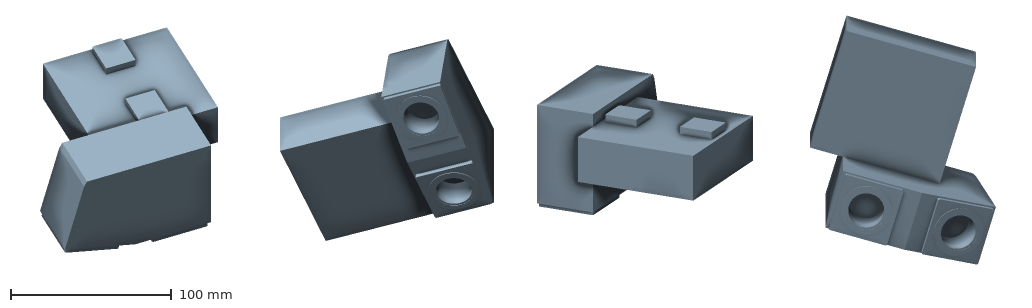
import cadquery as cq
import math

slab_length = 80.0
slab_width = 84.0
slab_height = 29.5
slab_front = 36.5
slab_bottom = 30.0
slab_top = slab_bottom + slab_height

top_pad_length = 22.0
top_pad_width = 19.9
top_pad_height = 5.2
top_pad_margin = 3.0
top_pad_radius = 1.0
top_pad_y = slab_front + slab_width / 2

head_left = slab_length
head_width = 39.0
head_back = 99.1
head_bottom = 3.1
head_top = 68.0
bend_y = 47.9
tip_z = 15.9
nose_top_y = 13.0
nose_top_z = 64.5
top_front_y = 15.1
tilt = math.degrees(math.atan2(tip_z - head_bottom, bend_y))

flange_size = 37.7
flange_thickness = 2.7
flange_radius = 1.02
flange_x = 100.0
ring_diameter = 32.0
ring_height = 0.5
mouth_diameter = 25.2
bore_diameter = 22.4
mouth_depth = 0.2
bore_depth = 18.1
rear_flange_y = 78.2
front_flange_y = 19.2


def make_head():
    outline = [
        (head_back, head_bottom),
        (head_back, head_top),
        (top_front_y, head_top),
        (nose_top_y, nose_top_z),
        (0, tip_z),
        (bend_y, head_bottom),
    ]
    return cq.Workplane("YZ", origin=(head_left, 0, 0)).polyline(outline).close().extrude(head_width)


def make_top_pad(x, rounded_side):
    """Make a pad whose two corners on the outer side are rounded."""
    pad = cq.Workplane("XY", origin=(x, top_pad_y, slab_top))
    pad = pad.rect(top_pad_length, top_pad_width).extrude(top_pad_height)
    return pad.faces(rounded_side).edges("|Z").fillet(top_pad_radius)


def add_flange(body, plane):
    """Add a flange growing out of the plane, then bore it back into the head."""
    flange = cq.Workplane(plane).rect(flange_size, flange_size).extrude(flange_thickness)
    flange = flange.edges(cq.selectors.ParallelDirSelector(plane.zDir)).fillet(flange_radius)
    ring = cq.Workplane(plane).circle(ring_diameter / 2).extrude(flange_thickness + ring_height)
    face = cq.Workplane(plane).workplane(offset=flange_thickness + ring_height)
    mouth = face.circle(mouth_diameter / 2).extrude(-mouth_depth)
    bore = face.circle(bore_diameter / 2).extrude(-bore_depth)
    return body.union(flange).union(ring).cut(mouth).cut(bore)


slab = cq.Workplane("XY").box(slab_length, slab_width, slab_height, centered=False)
slab = slab.translate((0, slab_front, slab_bottom))
result = slab.union(make_head())

first_pad_x = top_pad_margin + top_pad_length / 2
result = result.union(make_top_pad(first_pad_x, "<X"))
result = result.union(make_top_pad(slab_length - first_pad_x, ">X"))

rear_plane = cq.Plane((flange_x, rear_flange_y, head_bottom), xDir=(1, 0, 0), normal=(0, 0, -1))
front_flange_z = tip_z - (tip_z - head_bottom) * front_flange_y / bend_y
front_plane = cq.Plane((flange_x, front_flange_y, front_flange_z), xDir=(1, 0, 0), normal=(0, 0, -1))
front_plane = front_plane.rotated((-tilt, 0, 0))
result = add_flange(result, rear_plane)
result = add_flange(result, front_plane)